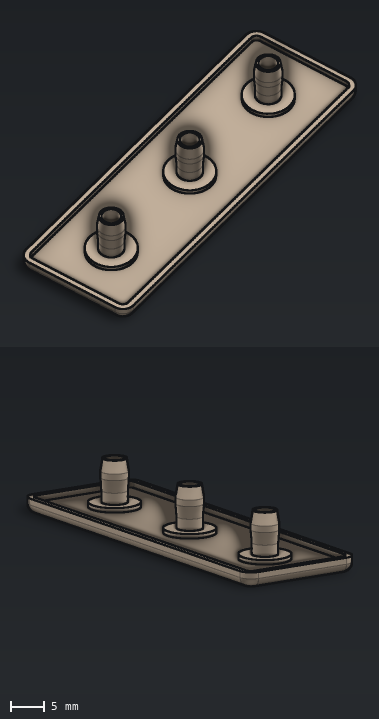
import cadquery as cq

WIDTH = 20.0
LENGTH = 60.0
TRAY_HEIGHT = 2.5
CORNER_RADIUS = 2.0
BOTTOM_ROUND = 1.5
RIM_WIDTH = 1.0
POCKET_DEPTH = 1.0
FLOOR_Z = TRAY_HEIGHT - POCKET_DEPTH

STUD_PITCH = 20.0
STUD_COUNT = 3
PAD_DIAMETER = 8.0
PAD_HEIGHT = 0.7
PAD_TOP_Z = FLOOR_Z + PAD_HEIGHT
STUD_TOP_Z = 9.0
STUD_DIAMETER = 4.0
BARB_DIAMETER = 4.35
TIP_DIAMETER = 3.7
TAPER_HEIGHT = 2.0
BARB_HEIGHT = 1.0
BARB_TOP_Z = STUD_TOP_Z - TAPER_HEIGHT
BARB_BOTTOM_Z = BARB_TOP_Z - BARB_HEIGHT
SHANK_TOP_Z = BARB_BOTTOM_Z - TAPER_HEIGHT

BORE_DIAMETER = 3.0
BORE_BOTTOM_Z = PAD_TOP_Z


def make_tray():
    """Shallow tray with rounded corners and a rounded lower edge."""
    body = cq.Workplane("XY").box(WIDTH, LENGTH, TRAY_HEIGHT, centered=(True, True, False))
    body = body.edges("|Z").fillet(CORNER_RADIUS)
    body = body.faces("<Z").edges().fillet(BOTTOM_ROUND)
    pocket = (
        cq.Workplane("XY", origin=(0, 0, FLOOR_Z))
        .rect(WIDTH - 2 * RIM_WIDTH, LENGTH - 2 * RIM_WIDTH)
        .extrude(POCKET_DEPTH)
        .edges("|Z")
        .fillet(CORNER_RADIUS - RIM_WIDTH)
    )
    return body.cut(pocket)


def make_stud():
    """Pad and barbed stud on the Z axis, revolved from half of their section."""
    return (
        cq.Workplane("XZ")
        .moveTo(0, FLOOR_Z)
        .lineTo(PAD_DIAMETER / 2, FLOOR_Z)
        .lineTo(PAD_DIAMETER / 2, PAD_TOP_Z)
        .lineTo(STUD_DIAMETER / 2, PAD_TOP_Z)
        .lineTo(STUD_DIAMETER / 2, SHANK_TOP_Z)
        .lineTo(BARB_DIAMETER / 2, BARB_BOTTOM_Z)
        .lineTo(BARB_DIAMETER / 2, BARB_TOP_Z)
        .lineTo(TIP_DIAMETER / 2, STUD_TOP_Z)
        .lineTo(0, STUD_TOP_Z)
        .close()
        .revolve(360, (0, 0, 0), (0, 1, 0))
    )


def make_bore():
    """Bore on the Z axis with a hemispherical bottom."""
    radius = BORE_DIAMETER / 2
    sphere_center_z = BORE_BOTTOM_Z + radius
    return (
        cq.Workplane("XZ")
        .moveTo(0, BORE_BOTTOM_Z)
        .radiusArc((radius, sphere_center_z), -radius)
        .lineTo(radius, STUD_TOP_Z)
        .lineTo(0, STUD_TOP_Z)
        .close()
        .revolve(360, (0, 0, 0), (0, 1, 0))
    )


result = make_tray()
for index in range(STUD_COUNT):
    stud_y = (index - (STUD_COUNT - 1) / 2) * STUD_PITCH
    result = result.union(make_stud().translate((0, stud_y, 0)))
    result = result.cut(make_bore().translate((0, stud_y, 0)))